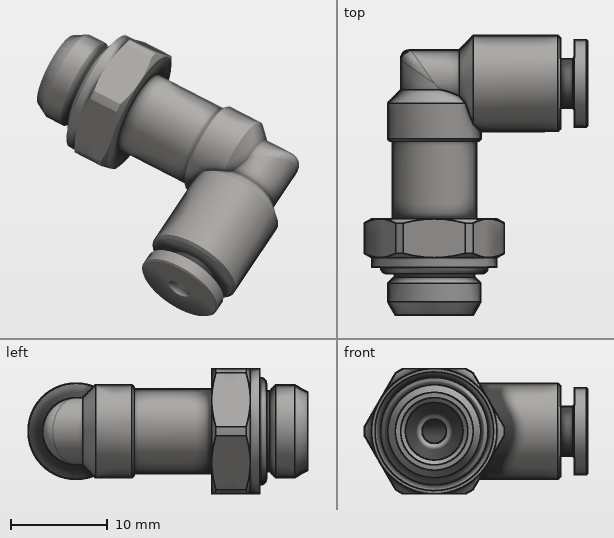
import cadquery as cq
import math


total_length = 29.0
branch_radius = 5.0
branch_y = total_length - branch_radius
elbow_radius = 3.48
elbow_round = 1.05
mitre_angle = 135
wedge_turn = -45

tip_chamfer_end = 1.4
thread_end = 3.34
undercut_start = 3.95
collar_start = 5.0
hex_start = 5.97
hex_end = 9.98
sleeve_start = 18.0
sleeve_end = 21.98
shoulder_end = 23.35
tip_radius = 4.03
thread_radius = 4.8
undercut_radius = 4.18
collar_radius = 6.5
shaft_radius = 4.38
sleeve_radius = 4.85
sleeve_chamfer = 0.25

hex_across_flats = 2 * collar_radius
hex_corner_radius = 7.25
hex_turn = 30
hex_chamfer_angle = 30
hex_chamfer_height = (hex_corner_radius - collar_radius) * math.tan(math.radians(hex_chamfer_angle))

ring_section_radius = 0.7
ring_centre_radius = undercut_radius + ring_section_radius
seat_floor_radius = ring_centre_radius + ring_section_radius
seat_rim_radius = 6.15

cone_start = 2.58
cone_end = 4.05
branch_end = 13.08
flange_start = 14.5
flange_end = 15.9
branch_chamfer = 0.3
neck_radius = 2.58
neck_flare = 0.15
flange_radius = 4.52
flange_chamfer = 0.17

mouth_radius = 3.48
mouth_chamfer = 0.5
bore_radius = 3.0
bore_depth = 14.5
bore_cone_length = 1.07
passage_radius = 1.25


def revolve_stem(points):
    """Revolve (radius, Y) points, closed on the axis, about the stem axis."""
    profile = cq.Workplane("XY").moveTo(0, points[0][1])
    for radius, y in points:
        profile = profile.lineTo(radius, y)
    return profile.lineTo(0, points[-1][1]).close().revolve(360, (0, 0), (0, 1))


def revolve_branch(points):
    """Revolve (X, radius) points, closed on the axis, about the branch axis."""
    profile = cq.Workplane("XY", origin=(0, branch_y, 0)).moveTo(points[0][0], 0)
    for x, radius in points:
        profile = profile.lineTo(x, radius)
    return profile.lineTo(points[-1][0], 0).close().revolve(360, (0, 0), (1, 0))


def make_elbow_corner():
    """Ellipsoid tangent to both elbow cylinders, rounding their outer mitre edge."""
    across_squared = elbow_round / elbow_radius
    along = math.sqrt(2 - across_squared)
    across = math.sqrt(across_squared)
    stretch = cq.Matrix([
        [along, 0, 0, 0],
        [0, across, 0, 0],
        [0, 0, 1, 0],
    ])
    wedge = (
        cq.Workplane("XY")
        .moveTo(0, -elbow_radius)
        .threePointArc((elbow_radius, 0), (0, elbow_radius))
        .close()
        .revolve(90, (0, 0), (0, 1))
        .rotate((0, 0, 0), (1, 0, 0), 90)
        .rotate((0, 0, 0), (0, 0, 1), wedge_turn)
    ).val()
    ellipsoid = wedge.transformGeometry(stretch).rotate((0, 0, 0), (0, 0, 1), mitre_angle)
    return cq.Workplane(ellipsoid.translate((0, branch_y, 0)))


def make_elbow():
    """Two equal cylinders meeting at a mitre with a rounded outer corner."""
    reach = 2 * elbow_radius
    leg = revolve_stem([(elbow_radius, sleeve_end), (elbow_radius, branch_y + reach)])
    arm = revolve_branch([(-reach, elbow_radius), (cone_start, elbow_radius)])

    tangent_reach = reach * (1 - elbow_round / elbow_radius)
    leg_tangent = (-reach, tangent_reach)
    arm_tangent = (-tangent_reach, reach)
    inner_corner = (reach, -reach)

    def sector(*points):
        base = cq.Workplane("XY", origin=(0, branch_y, -reach))
        return base.polyline([(0, 0), *points]).close().extrude(2 * reach)

    leg_part = leg.intersect(sector(leg_tangent, (-reach, -reach), inner_corner))
    arm_part = arm.intersect(sector(inner_corner, (reach, reach), arm_tangent))
    corner_part = make_elbow_corner()
    return leg_part.union(arm_part).union(corner_part)


def make_hexagon():
    """Hexagon with its corners turned down and both ends chamfered."""
    hexagon = (
        cq.Workplane("XZ", origin=(0, hex_start, 0))
        .transformed(rotate=(0, 0, hex_turn))
        .polygon(6, hex_across_flats, circumscribed=True)
        .extrude(-(hex_end - hex_start))
    )
    envelope = revolve_stem([
        (collar_radius, hex_start),
        (hex_corner_radius, hex_start + hex_chamfer_height),
        (hex_corner_radius, hex_end - hex_chamfer_height),
        (collar_radius, hex_end),
    ])
    return hexagon.intersect(envelope)


def make_stem():
    """Threaded tip, undercut, collar, shaft and sleeve."""
    return revolve_stem([
        (tip_radius, 0),
        (thread_radius, tip_chamfer_end),
        (thread_radius, thread_end),
        (undercut_radius, undercut_start),
        (undercut_radius, collar_start),
        (collar_radius, collar_start),
        (collar_radius, hex_start),
        (shaft_radius, hex_start),
        (shaft_radius, sleeve_start),
        (sleeve_radius - sleeve_chamfer, sleeve_start),
        (sleeve_radius, sleeve_start + sleeve_chamfer),
        (sleeve_radius, sleeve_end),
        (elbow_radius, shoulder_end),
    ])


def make_branch():
    """Branch housing, neck and release flange."""
    return revolve_branch([
        (cone_start, elbow_radius),
        (cone_end, branch_radius),
        (branch_end - branch_chamfer, branch_radius),
        (branch_end, branch_radius - branch_chamfer),
        (branch_end, neck_radius),
        (flange_start - neck_flare, neck_radius),
        (flange_start, neck_radius + neck_flare),
        (flange_start, flange_radius),
        (flange_end - flange_chamfer, flange_radius),
        (flange_end, flange_radius - flange_chamfer),
    ])


def make_ring_seat():
    """Tapered recess in the collar face, around the undercut."""
    seat = revolve_stem([
        (seat_rim_radius, collar_start),
        (seat_floor_radius, collar_start + ring_section_radius),
    ])
    core = revolve_stem([
        (undercut_radius, collar_start),
        (undercut_radius, collar_start + ring_section_radius),
    ])
    return seat.cut(core)


def make_stem_bore():
    """Stepped bore that tapers into the small passage."""
    return revolve_stem([
        (mouth_radius, 0),
        (bore_radius, mouth_chamfer),
        (bore_radius, bore_depth),
        (passage_radius, bore_depth + bore_cone_length),
        (passage_radius, branch_y),
    ])


def make_branch_bore():
    """Passage from the stem axis out through the flange."""
    return revolve_branch([(-passage_radius, passage_radius), (flange_end, passage_radius)])


def make_fitting():
    """Elbow fitting, hollowed along both axes."""
    solid = make_stem().union(make_hexagon()).union(make_elbow()).union(make_branch())
    return solid.cut(make_ring_seat()).cut(make_stem_bore()).cut(make_branch_bore())


def make_seal_ring():
    """Round-section ring seated against the collar and the undercut."""
    return (
        cq.Workplane("XY")
        .center(ring_centre_radius, collar_start)
        .circle(ring_section_radius)
        .revolve(360, (-ring_centre_radius, 0), (-ring_centre_radius, 1))
    )


fitting = make_fitting()
seal_ring = make_seal_ring()
result = cq.Compound.makeCompound([fitting.val(), seal_ring.val()])